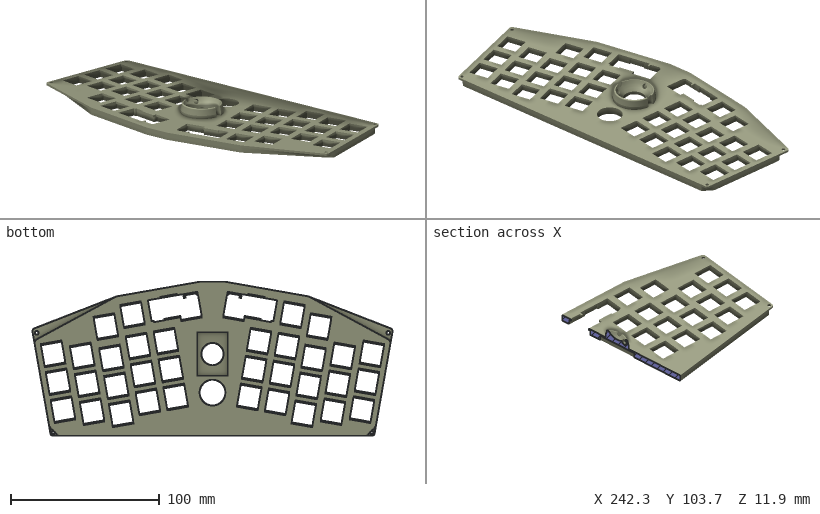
import cadquery as cq
import math


plate_height = 5.0
skin_thickness = 1.5
skin_bottom = plate_height - skin_thickness
plate_depth = 103.7
half_angle = 10
slope = math.tan(math.radians(half_angle))
rear_half_width = 108.8
side_corner_y = -71.7
front_half_width = 8.7
bend_x = 64.5
bend_radius = 6.0
corner_radius = 2.2

body_side_corner_y = -64.0
body_rear_corner_y = -6.0
body_side_radius = 3.5
body_rear_radius = 5.3

screw_hole_diameter = 2.4
screw_places = [(106.8, -2.5), (118.2, -69.3)]

key_pitch = 19.05
key_size = 14.0
first_key = (24.7, -26.2)
column_stagger = key_pitch / 4
column_offsets = [0, 0, column_stagger, 0, -column_stagger]
rows = 3
thumb_columns = [1, 2]
thumb_key_drop = 1.125 * key_pitch
clip_recess = 1.0

wide_corner = (7.8, -83.0)
wide_length = 33.7
wide_bay_rise = 2.7
wide_bay_front_step = 1.0
wide_bay_chamfer = 1.5
wide_tab_start = 25.2
wide_tab_end = 32.2
wide_tab_rise = 1.0
tooth_start = 8.5
tooth_width = 1.2
tooth_height = 2.7

cup_y = -55.0
cup_base_radius = 14.5
cup_base_top = 7.3
cup_top = 11.9
cup_top_radius = 13.5
cup_edge_radius = 0.7
ball_radius = 13.8
ball_center_z = 17.5
cup_hole_diameter = 14.8
cup_recess_width = 20.8
cup_recess_length = 29.0
notch_width = 5.0
notch_inner_x = 11.6

bearing_diameter = 3.6
bearing_mouth_radius = 11.1
bearing_mouth_z = 9.2
bearing_tilt = 30
bearing_depth = 2.0
bearing_angles = [30, 150, 270]

rear_hole_diameter = 17.2
rear_hole_y = -29.0


def side_x(y):
    """X of the slanted side edge at a given Y."""
    return rear_half_width - y * slope


front_corner = (front_half_width, -plate_depth)
bend_corner = (bend_x, -plate_depth + (bend_x - front_half_width) * slope)
side_corner = (side_x(side_corner_y), side_corner_y)
rear_corner = (rear_half_width, 0)


def both_sides(solid):
    return solid.union(solid.mirror("YZ"))


def symmetric_prism(right_points, bottom, height):
    """Prism on a chain of right-hand points closed by its mirror image."""
    left_points = [(-x, y) for x, y in reversed(right_points)]
    outline = cq.Workplane("XY").workplane(offset=bottom).polyline(right_points + left_points)
    return outline.close().extrude(height)


def round_corners(solid, corners, radius):
    """Fillet the vertical edges at the given corners and at their mirror images."""

    def is_corner(edge):
        spot = edge.Center()
        return any(math.hypot(abs(spot.x) - x, spot.y - y) < 0.02 for x, y in corners)

    return solid.edges("|Z").filter(is_corner).fillet(radius)


def make_skin():
    corners = [front_corner, bend_corner, side_corner, rear_corner]
    skin = symmetric_prism(corners, skin_bottom, skin_thickness)
    skin = round_corners(skin, [front_corner, bend_corner], bend_radius)
    return round_corners(skin, [side_corner, rear_corner], corner_radius)


def make_body():
    body_side = (side_x(body_side_corner_y), body_side_corner_y)
    body_rear = (side_x(body_rear_corner_y), body_rear_corner_y)
    chamfer_end = (body_rear[0] + body_rear_corner_y, 0)
    corners = [front_corner, bend_corner, body_side, body_rear, chamfer_end]
    body = symmetric_prism(corners, 0, skin_bottom)
    body = round_corners(body, [front_corner, bend_corner], bend_radius)
    body = round_corners(body, [body_side], body_side_radius)
    return round_corners(body, [body_rear], body_rear_radius)


def make_cup():
    profile = [
        (0, skin_bottom),
        (cup_base_radius, skin_bottom),
        (cup_base_radius, cup_base_top),
        (cup_top_radius, cup_top),
        (0, cup_top),
    ]
    cup = cq.Workplane("XZ").polyline(profile).close().revolve(360, (0, 0), (0, 1))
    cup = cup.faces(">Z").edges().fillet(cup_edge_radius)
    notch_end_x = notch_inner_x + notch_width / 2
    notch_plane = cq.Workplane("XY").workplane(offset=plate_height)
    notch = notch_plane.center(notch_end_x, 0).circle(notch_width / 2).extrude(cup_top)
    mouth = notch_plane.center(notch_end_x + notch_width / 2, 0).rect(notch_width, notch_width)
    notch = notch.union(mouth.extrude(cup_top))
    return cup.cut(both_sides(notch)).translate((0, cup_y, 0))


def bearing_seat(angle):
    length = bearing_depth + bearing_mouth_radius / 2
    seat = cq.Workplane("YZ").circle(bearing_diameter / 2).extrude(length)
    seat = seat.translate((bearing_depth - length, 0, 0)).rotate((0, 0, 0), (0, 1, 0), bearing_tilt)
    seat = seat.translate((bearing_mouth_radius, 0, bearing_mouth_z))
    return seat.rotate((0, 0, 0), (0, 0, 1), angle)


def cup_cutter():
    cutter = cq.Workplane("XY").sphere(ball_radius).translate((0, 0, ball_center_z))
    cutter = cutter.union(cq.Workplane("XY").circle(cup_hole_diameter / 2).extrude(cup_base_top))
    recess = cq.Workplane("XY").rect(cup_recess_width, cup_recess_length).extrude(skin_bottom)
    cutter = cutter.union(recess)
    for angle in bearing_angles:
        cutter = cutter.union(bearing_seat(angle))
    return cutter.translate((0, cup_y, 0))


def turned(solid, place):
    """Turn a cutter with the right half and move it to its place."""
    return solid.rotate((0, 0, 0), (0, 0, 1), half_angle).translate((place[0], place[1], 0))


def key_cutter():
    opening = cq.Workplane("XY").rect(key_size, key_size).extrude(plate_height)
    clips = cq.Workplane("XY").rect(key_size, key_size + 2 * clip_recess).extrude(skin_bottom)
    return opening.union(clips)


def key_place(column, back):
    """Position in the turned key grid, measured outward and rearward from the first key."""
    angle = math.radians(half_angle)
    out = column * key_pitch
    x = first_key[0] + out * math.cos(angle) - back * math.sin(angle)
    y = first_key[1] + out * math.sin(angle) + back * math.cos(angle)
    return (x, y)


def key_places():
    places = []
    for column, offset in enumerate(column_offsets):
        drops = [row * key_pitch for row in range(rows)]
        if column in thumb_columns:
            drops.append(drops[-1] + thumb_key_drop)
        places += [key_place(column, offset - drop) for drop in drops]
    return places


def block(start, end, front, rear, height=plate_height):
    box = cq.Workplane("XY").box(end - start, rear - front, height, centered=False)
    return box.translate((start, front, 0))


def wide_cutter():
    bay_front = wide_bay_front_step - key_size
    bay = block(0, key_size, bay_front, wide_bay_rise).edges("|Z and <X and <Y").chamfer(wide_bay_chamfer)
    main = block(tooth_start, wide_length, -key_size, 0)
    tab = block(wide_tab_start, wide_tab_end, -key_size, wide_tab_rise)
    tooth = block(tooth_start, tooth_start + tooth_width, -key_size, tooth_height - key_size)
    bay_clips = block(0, key_size, bay_front - clip_recess, wide_bay_rise + clip_recess, skin_bottom)
    main_clips = block(key_size, wide_tab_start, -key_size - clip_recess, clip_recess, skin_bottom)
    opening = bay.union(main).union(tab).cut(tooth)
    return opening.union(bay_clips).union(main_clips)


result = make_skin().union(make_body()).union(make_cup()).cut(cup_cutter())

rear_hole = cq.Workplane("XY").center(0, rear_hole_y).circle(rear_hole_diameter / 2)
result = result.cut(rear_hole.extrude(plate_height))

screws = cq.Workplane("XY").workplane(offset=skin_bottom).pushPoints(screw_places)
result = result.cut(both_sides(screws.circle(screw_hole_diameter / 2).extrude(skin_thickness)))

for place in key_places():
    result = result.cut(both_sides(turned(key_cutter(), place)))
result = result.cut(both_sides(turned(wide_cutter(), wide_corner)))